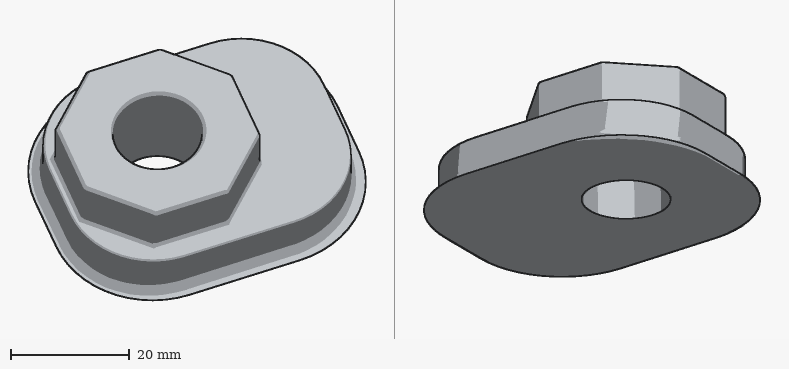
import cadquery as cq
import math

lip_width = 44.73
lip_length = 54.67
total_height = 18.0

lip_height = 1.0
flare_radius = 2.5
undercut_radius = 2.5
flare_root = 5.0

base_width = lip_width - 2 * flare_radius
base_length = lip_length - 2 * flare_radius
base_corner_radius = 14.9
base_height = 9.0
base_top_round = 0.5

boss_across_flats = 32.0
boss_sides = 8
boss_center_y = -7.15
boss_edge_round = 1.0
boss_foot_fillet = 1.0

hole_diameter = 15.0
hole_rim_round = 1.0

selection_margin = 0.01


def base_block():
    return (
        cq.Workplane("XY")
        .rect(base_width, base_length)
        .extrude(base_height)
        .edges("|Z")
        .fillet(base_corner_radius)
    )


def make_base():
    rounded_block = base_block().faces(">Z").edges().fillet(base_top_round)
    return rounded_block.union(make_flare())


def make_flare():
    """Sweep the foot section once around the rounded outline of the base."""
    wall_x = base_width / 2
    tip_x = lip_width / 2
    flare_top = lip_height + flare_radius
    flare_inset = flare_radius * (1 - math.sqrt(0.5))
    flare_middle = (wall_x + flare_inset, lip_height + flare_inset)
    undercut_angle = math.acos(1 - lip_height / undercut_radius)
    bottom_x = tip_x - undercut_radius * math.sin(undercut_angle)
    undercut_middle = (
        bottom_x + undercut_radius * math.sin(undercut_angle / 2),
        undercut_radius * (1 - math.cos(undercut_angle / 2)),
    )

    section = (
        cq.Workplane("XZ")
        .moveTo(wall_x - flare_root, 0)
        .lineTo(bottom_x, 0)
        .threePointArc(undercut_middle, (tip_x, lip_height))
        .threePointArc(flare_middle, (wall_x, flare_top))
        .lineTo(wall_x - flare_root, flare_top)
        .close()
    )

    outline = base_block().faces("<Z").wires()
    return section.sweep(outline)


def boss_zone(bottom, top):
    """Select edges centred within the boss footprint between two heights."""
    reach = boss_across_flats / 2 + selection_margin
    return cq.selectors.BoxSelector(
        (-reach, boss_center_y - reach, bottom - selection_margin),
        (reach, boss_center_y + reach, top + selection_margin),
    )


def add_boss(body):
    half_side_angle = 180 / boss_sides
    across_corners = boss_across_flats / math.cos(math.radians(half_side_angle))
    boss = (
        cq.Workplane("XY")
        .transformed(offset=(0, boss_center_y, 0), rotate=(0, 0, half_side_angle))
        .polygon(boss_sides, across_corners)
        .extrude(total_height)
    )
    body = body.union(boss)
    foot_edges = body.edges(boss_zone(base_height, base_height)).edges("%LINE")
    body = foot_edges.fillet(boss_foot_fillet)
    upper_edges = body.edges(boss_zone(base_height + boss_foot_fillet, total_height))
    return upper_edges.fillet(boss_edge_round)


def cut_hole(body):
    hole_plane = body.faces(">Z").workplane(origin=(0, boss_center_y, 0))
    body = hole_plane.hole(hole_diameter)
    return body.faces(">Z").edges("%CIRCLE").fillet(hole_rim_round)


result = cut_hole(add_boss(make_base()))